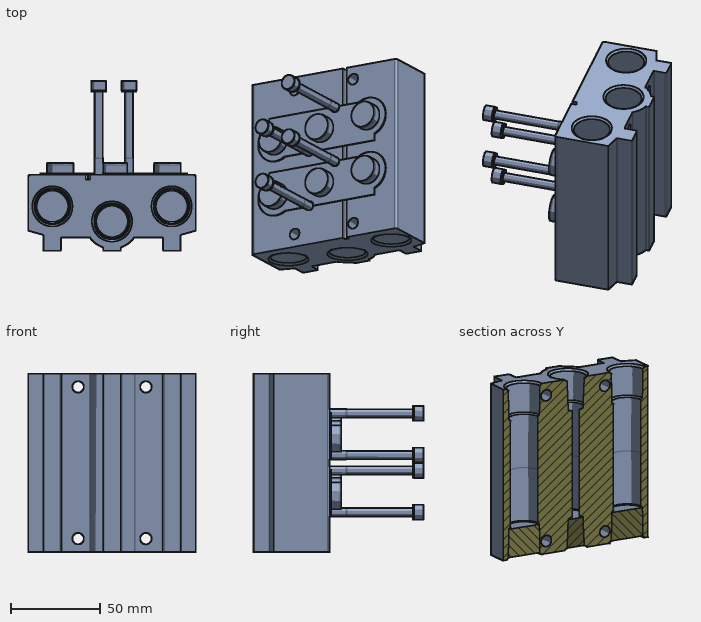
import cadquery as cq
import math


width = 94.0
height = 100.0
depth = 42.7
side_depth = 31.4
slope_depth = 33.8
recess_depth = 35.2
foot_outer_x = 38.5
foot_inner_x = 28.5
rib_half_width = 5.0
barrel_radius = 15.4
back_edge_fillet = 1.3
foot_outer_fillet = 0.5
foot_inner_fillet = 0.8
rib_fillet = 0.5
root_fillet = 0.5

side_port_x = 33.4
side_port_y = -17.7
middle_port_y = -26.2
mouth_diameter = 22.6
mouth_chamfer_depth = 1.2
taper_top_diameter = 20.2
taper_end_diameter = 19.5
taper_length = 18.0
port_diameter = 17.6
ports = [(-side_port_x, side_port_y), (0, middle_port_y), (side_port_x, side_port_y)]

mount_hole_diameter = 6.3
mount_hole_x = 19.0
mount_hole_z = 42.5
groove_x = -13.5
groove_width = 2.4
groove_depth = 2.8
groove_fillet = 0.6

station_x = 1.0
station_z = 16.0
gasket_thickness = 0.8
gasket_length = 68.0
gasket_width = 24.0
gasket_end_radius = 11.3
collar_diameter = 15.1
collar_height = 6.6
collar_chamfer_width = 0.2
collar_chamfer_height = 0.9
collar_pitch_x = 30.0
collar_shift_z = 2.4
stud_diameter = 3.5
stud_length = 3.0
stud_x = -12.8

screw_offset_x = 8.5
screw_offset_z = 11.7
head_diameter = 8.5
head_top = 52.7
head_underside = 46.5
head_rim_chamfer = 0.2
washer_face_diameter = 8.3
washer_face_height = 0.9
shank_diameter = 4.8
thread_diameter = 5.0
thread_start = 9.6
thread_runout = 0.4
thread_engagement = 8.5
screw_slot_width = 5.6

collar_places = [
    (-collar_pitch_x, collar_shift_z),
    (0, 0),
    (collar_pitch_x, -collar_shift_z),
]
screw_places = [(-screw_offset_x, screw_offset_z), (screw_offset_x, -screw_offset_z)]
stations = [(station_x, station_z), (station_x, -station_z)]


def plane_at(y):
    """Workplane facing -Y at the given Y, with local coordinates (X, Z)."""
    return cq.Workplane(cq.Plane(origin=(0, y, 0), xDir=(1, 0, 0), normal=(0, -1, 0)))


def cylinder_y(x, z, diameter, y_start, y_end):
    """Cylinder along Y between two Y positions."""
    return plane_at(y_start).center(x, z).circle(diameter / 2).extrude(y_start - y_end)


def barrel_y(x):
    """Y of the round wall around the middle port at the given X."""
    return middle_port_y - math.sqrt(barrel_radius**2 - x**2)


def housing_block():
    """Extruded profile with two feet, a middle rib and the round wall around the middle port."""
    barrel_edge_x = math.sqrt(barrel_radius**2 - (recess_depth + middle_port_y) ** 2)
    rib_root_y = barrel_y(rib_half_width)
    arc_middle_x = (barrel_edge_x + rib_half_width) / 2
    half = (
        cq.Workplane("XY", origin=(0, 0, -height / 2))
        .moveTo(0, 0)
        .lineTo(width / 2, 0)
        .lineTo(width / 2, -side_depth)
        .lineTo(foot_outer_x, -slope_depth)
        .lineTo(foot_outer_x, -depth)
        .lineTo(foot_inner_x, -depth)
        .lineTo(foot_inner_x, -recess_depth)
        .lineTo(barrel_edge_x, -recess_depth)
        .threePointArc((arc_middle_x, barrel_y(arc_middle_x)), (rib_half_width, rib_root_y))
        .lineTo(rib_half_width, -depth)
        .lineTo(0, -depth)
        .close()
        .extrude(height)
    )
    block = half.union(half.mirror("YZ")).clean()
    rounded_corners = [
        (width / 2, 0, back_edge_fillet),
        (foot_outer_x, -depth, foot_outer_fillet),
        (foot_inner_x, -depth, foot_inner_fillet),
        (rib_half_width, -depth, rib_fillet),
        (foot_outer_x, -slope_depth, root_fillet),
        (foot_inner_x, -recess_depth, root_fillet),
        (barrel_edge_x, -recess_depth, root_fillet),
        (rib_half_width, rib_root_y, root_fillet),
    ]
    for x, y, radius in rounded_corners:
        for side in (-1, 1):
            edge = block.edges(cq.selectors.NearestToPointSelector((side * x, y, 0)))
            block = edge.fillet(radius)
    return block


def port_cutter(x, y):
    """Through port with a chamfered, tapered socket at both ends."""
    end_z = height / 2
    taper_z = end_z - mouth_chamfer_depth
    taper_end_z = end_z - taper_length
    step_z = taper_end_z - (taper_end_diameter - port_diameter) / 2
    half = (
        cq.Workplane("XZ")
        .moveTo(0, 0)
        .lineTo(port_diameter / 2, 0)
        .lineTo(port_diameter / 2, step_z)
        .lineTo(taper_end_diameter / 2, taper_end_z)
        .lineTo(taper_top_diameter / 2, taper_z)
        .lineTo(mouth_diameter / 2, end_z)
        .lineTo(0, end_z)
        .close()
        .revolve(360, (0, 0, 0), (0, 1, 0))
    )
    return half.union(half.mirror("XY")).translate((x, y, 0))


def plug(x, y):
    """Tapered plug that closes the lower socket of a port, below its chamfer."""
    bottom_z = mouth_chamfer_depth - height / 2
    top_z = taper_length - height / 2
    return (
        cq.Workplane("XY", origin=(x, y, bottom_z))
        .circle(taper_top_diameter / 2)
        .workplane(offset=top_z - bottom_z)
        .circle(taper_end_diameter / 2)
        .loft(ruled=True)
    )


def groove_cutter():
    """Round-bottomed groove along the mounting face."""
    return (
        cq.Workplane("XY")
        .box(groove_width, 2 * groove_depth, height)
        .edges("|Z")
        .fillet(groove_fillet)
        .translate((groove_x, 0, 0))
    )


def housing():
    body = housing_block()
    for x, y in ports:
        body = body.cut(port_cutter(x, y))
    for x in (-mount_hole_x, mount_hole_x):
        for z in (-mount_hole_z, mount_hole_z):
            body = body.cut(cylinder_y(x, z, mount_hole_diameter, -depth, 0))
    body = body.cut(groove_cutter())
    for x, z in stations:
        body = body.cut(cylinder_y(x + stud_x, z, stud_diameter, -stud_length, 0))
        for dx, dz in screw_places:
            body = body.cut(cylinder_y(x + dx, z + dz, thread_diameter, -thread_engagement, 0))
    return body


def collar():
    """Round collar on a gasket, slightly tapered at its free end."""
    radius = collar_diameter / 2
    return (
        cq.Workplane("XY")
        .lineTo(radius, 0)
        .lineTo(radius, collar_height - collar_chamfer_height)
        .lineTo(radius - collar_chamfer_width, collar_height)
        .lineTo(0, collar_height)
        .close()
        .revolve(360, (0, 0, 0), (0, 1, 0))
    )


def gasket(x, z):
    """Flat gasket with three collars, two open screw slots and a locating stud."""
    body = plane_at(0).rect(gasket_length, gasket_width).extrude(-gasket_thickness)
    for cx, cz in (collar_places[0], collar_places[-1]):
        body = body.union(cylinder_y(cx, cz, 2 * gasket_end_radius, 0, gasket_thickness))
    for sx, sz in screw_places:
        body = body.cut(cylinder_y(sx, sz, screw_slot_width, 0, gasket_thickness))
        slot_mouth = cq.Workplane("XY").box(screw_slot_width, 2 * gasket_thickness, screw_slot_width)
        body = body.cut(slot_mouth.translate((sx, 0, sz + math.copysign(screw_slot_width / 2, sz))))
    for cx, cz in collar_places:
        body = body.union(collar().translate((cx, 0, cz)))
    body = body.union(cylinder_y(stud_x, 0, stud_diameter, -stud_length, gasket_thickness))
    return body.translate((x, 0, z))


def screw(x, z):
    """Cap screw pointing toward -Y."""
    head_radius = head_diameter / 2
    return (
        cq.Workplane("XY")
        .moveTo(0, -thread_engagement)
        .lineTo(thread_diameter / 2, -thread_engagement)
        .lineTo(thread_diameter / 2, thread_start - thread_runout)
        .lineTo(shank_diameter / 2, thread_start)
        .lineTo(shank_diameter / 2, head_underside)
        .lineTo(washer_face_diameter / 2, head_underside)
        .lineTo(washer_face_diameter / 2, head_underside + washer_face_height)
        .lineTo(head_radius, head_underside + washer_face_height)
        .lineTo(head_radius, head_top - head_rim_chamfer)
        .lineTo(head_radius - head_rim_chamfer, head_top)
        .lineTo(0, head_top)
        .close()
        .revolve(360, (0, 0, 0), (0, 1, 0))
        .translate((x, 0, z))
    )


plugs = [plug(x, y) for x, y in ports]
gaskets = [gasket(x, z) for x, z in stations]
screws = [screw(x + dx, z + dz) for x, z in stations for dx, dz in screw_places]

bodies = [housing(), *plugs, *gaskets, *screws]
result = cq.Compound.makeCompound([body.val() for body in bodies])